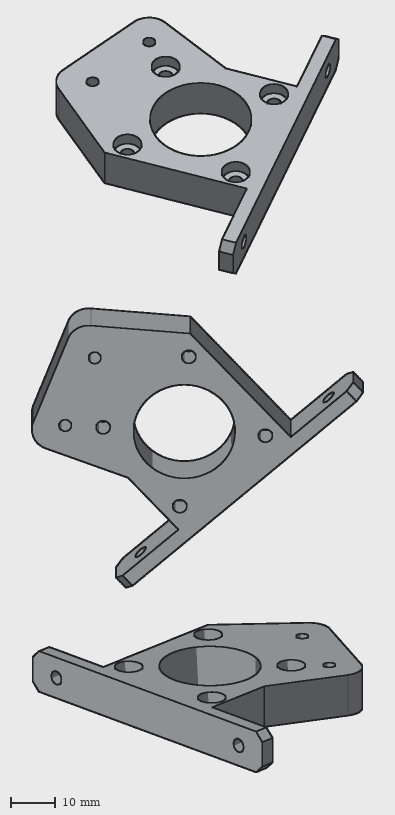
import cadquery as cq

height = 10.0
bore_diameter = 23.0
body_half_width = 17.1

flange_length = 72.0
flange_thickness = 3.4
flange_outer_x = 20.45
flange_chamfer = 2.0
flange_hole_diameter = 3.2
flange_hole_offset = 28.5

screw_spacing = 26.0
screw_diameter = 3.2
counterbore_diameter = 6.4
counterbore_depth = 3.0

arm_upper_corner = (-22.2, 28.4)
arm_lower_corner = (-36.3, 1.0)
arm_corner_radius = 5.0
arm_hole_diameter = 2.8
arm_hole_centers = [(-19.1, 19.1), (-27.0, 3.0)]


def make_body():
    """Plate with a rounded slanted arm."""
    outline = [
        (flange_outer_x, -body_half_width),
        (flange_outer_x, body_half_width),
        (0, body_half_width),
        arm_upper_corner,
        arm_lower_corner,
        (-body_half_width, -body_half_width),
    ]
    body = cq.Workplane("XY").polyline(outline).close().extrude(height)
    for corner in (arm_upper_corner, arm_lower_corner):
        corner_edge = cq.selectors.NearestToPointSelector((*corner, height / 2))
        body = body.edges("|Z").edges(corner_edge).fillet(arm_corner_radius)
    return body


def make_flange():
    """Upright strip with chamfered ends and one cross hole near each end."""
    flange = (
        cq.Workplane("XY")
        .box(flange_thickness, flange_length, height)
        .edges("|X")
        .chamfer(flange_chamfer)
        .faces("<X")
        .workplane(centerOption="CenterOfBoundBox")
        .pushPoints([(-flange_hole_offset, 0), (flange_hole_offset, 0)])
        .hole(flange_hole_diameter)
    )
    return flange.translate((flange_outer_x - flange_thickness / 2, 0, height / 2))


def top_plane(part):
    """Workplane on the top surface, centred on the bore axis."""
    return part.copyWorkplane(cq.Workplane("XY", origin=(0, 0, height)))


def cut_vertical_holes(part):
    """Bore, counterbored screw holes and plain arm holes, all through Z."""
    part = top_plane(part).hole(bore_diameter)
    part = (
        top_plane(part)
        .rect(screw_spacing, screw_spacing, forConstruction=True)
        .vertices()
        .cboreHole(screw_diameter, counterbore_diameter, counterbore_depth)
    )
    return top_plane(part).pushPoints(arm_hole_centers).hole(arm_hole_diameter)


result = cut_vertical_holes(make_body().union(make_flange()))